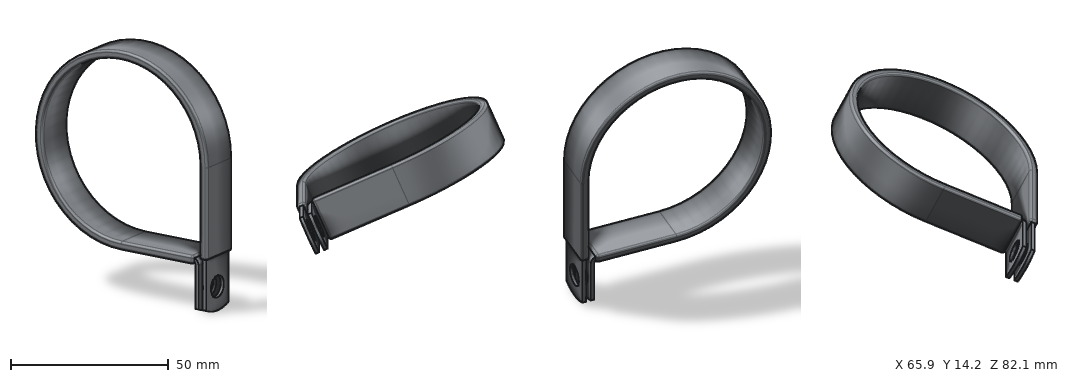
import cadquery as cq
import math

outer_radius = 32.97
overall_height = 82.1
strap_thickness = 1.2
strap_width = 12.65
cushion_wall = 0.8
upright_end_z = -30.9
foot_end_x = 27.6
bend_inner_radius = 1.0
tab_outer_x = 29.2
tab_end_sag = 1.4
hole_diameter = 7.2
hole_to_tab_end = 8.0

diagonal = math.sqrt(0.5)
cushion_thickness = strap_thickness + 2 * cushion_wall
cushion_width = strap_width + 2 * cushion_wall
strap_outer_radius = outer_radius - cushion_wall
strap_inner_radius = strap_outer_radius - strap_thickness
bend_outer_radius = bend_inner_radius + strap_thickness
bend_start_x = tab_outer_x - bend_outer_radius
tab_end_z = outer_radius - overall_height
hole_z = tab_end_z + hole_to_tab_end
tab_end_radius = ((strap_width / 2) ** 2 + tab_end_sag ** 2) / (2 * tab_end_sag)
end_margin = 0.1


def loop_band(radius, thickness, width, leg_end_z, leg_end_x):
    """Three-quarter ring with an upright leg on the right and a horizontal leg below."""
    inner = radius - thickness
    return (
        cq.Workplane("XZ")
        .moveTo(radius, leg_end_z)
        .lineTo(radius, 0)
        .threePointArc((-radius * diagonal, radius * diagonal), (0, -radius))
        .lineTo(leg_end_x, -radius)
        .lineTo(leg_end_x, -inner)
        .lineTo(0, -inner)
        .threePointArc((-inner * diagonal, inner * diagonal), (inner, 0))
        .lineTo(inner, leg_end_z)
        .close()
        .extrude(width / 2, both=True)
    )


def make_cushion():
    """Rubber cushion with its side edges and both leg ends rounded."""
    band = loop_band(outer_radius, cushion_thickness, cushion_width, upright_end_z, foot_end_x)
    side_edges = band.faces("|Y").edges()
    upright_end_edges = band.edges(cq.selectors.BoxSelector(
        (0, -cushion_width, upright_end_z - end_margin),
        (2 * outer_radius, cushion_width, upright_end_z + end_margin),
    )).edges("|Y")
    foot_end_edges = band.edges(cq.selectors.BoxSelector(
        (foot_end_x - end_margin, -cushion_width, -2 * outer_radius),
        (foot_end_x + end_margin, cushion_width, 0),
    )).edges("|Y")
    return side_edges.add(upright_end_edges).add(foot_end_edges).fillet(cushion_wall)


def make_bent_tab():
    """Strap bend that turns the horizontal leg down into a tab."""
    bend_z = -strap_inner_radius - bend_outer_radius
    tab_inner_x = tab_outer_x - strap_thickness
    inner_mid = bend_inner_radius * diagonal
    outer_mid = bend_outer_radius * diagonal
    return (
        cq.Workplane("XZ")
        .moveTo(bend_start_x, -strap_inner_radius)
        .threePointArc((bend_start_x + outer_mid, bend_z + outer_mid), (tab_outer_x, bend_z))
        .lineTo(tab_outer_x, tab_end_z)
        .lineTo(tab_inner_x, tab_end_z)
        .lineTo(tab_inner_x, bend_z)
        .threePointArc((bend_start_x + inner_mid, bend_z + inner_mid), (bend_start_x, -strap_outer_radius))
        .close()
        .extrude(strap_width / 2, both=True)
    )


def make_strap():
    """Metal strap with two tabs, curved tab ends and a bolt hole through both."""
    loop = loop_band(strap_outer_radius, strap_thickness, strap_width, tab_end_z, bend_start_x)
    strap = loop.union(make_bent_tab())
    tab_corner_z = tab_end_z + tab_end_sag
    outline = (
        cq.Workplane("YZ", origin=(-outer_radius, 0, 0))
        .moveTo(-strap_width / 2, outer_radius)
        .lineTo(-strap_width / 2, tab_corner_z)
        .radiusArc((strap_width / 2, tab_corner_z), -tab_end_radius)
        .lineTo(strap_width / 2, outer_radius)
        .close()
        .extrude(2 * outer_radius)
    )
    bolt_hole = (
        cq.Workplane("YZ")
        .center(0, hole_z)
        .circle(hole_diameter / 2)
        .extrude(outer_radius)
    )
    return strap.intersect(outline).cut(bolt_hole)


result = make_cushion().union(make_strap())